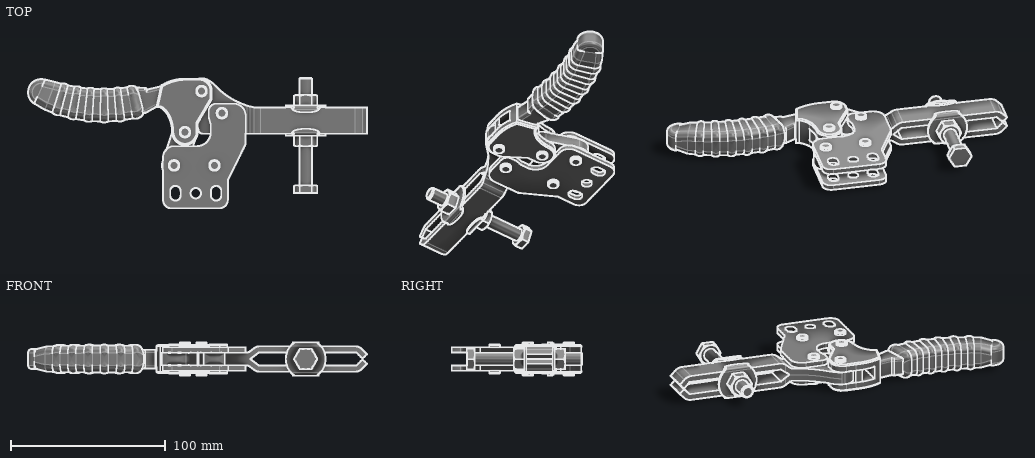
import cadquery as cq
import math


overall_thickness = 21.7
sheet = 4.2
base_outer = 7.7
lever_outer = 9.2
base_head_top = 9.6
lever_head_top = overall_thickness / 2
rivet_radius = 2.6
head_radius = 3.5
head_chamfer = 0.7

link_base_pin = (7.2, 27.8)
spacer_pin = (33.3, 27.8)
arm_base_pin = (38.1, 61.5)
link_lever_pin = (14.3, 49.3)
arm_lever_pin = (25.0, 75.9)

base_height = 67.7
foot_width = 42.0
foot_side_height = 18.5
shoulder_corner = 7.5
base_right = 53.5
slope_top = 41.5
shoulder_height = 40.3
post_left = 29.5
foot_corner = 5.7
post_corner = 7.7
post_left_corner = 4.8
throat_radius = 9.0
post_step_from = 59.0
post_step_to = 54.5
throat_side = 31.0
spacer_radius = 6.8
hole_row = 9.9
hole_radius = 3.3
hole_middle = 21.3
slot_pitch = 13.2
slot_length = 9.5

link_radius = 8.0
link_half_thickness = 4.0

lever_edge_chamfer = 0.9
lever_top = 84.0
lever_toe_radius = 8.3
lever_nose_radius = 7.7
lever_right = 31.5
lever_crown_length = 6.5
lever_cheek_bottom = (lever_right, 70.5)
lever_toe_top = 55.2
lever_belly_start = (3.5, 59.6)
lever_belly_end = (-1.8, 65.3)
lever_heel_bottom = (-4.2, 65.3)
lever_heel_top = (-1.0, 79.5)
lever_back_middle = (6.5, 82.9)
lever_slot_left = 3.7
neck_upper_edge = [(-17.5, 78.3), (-11.2, 78.0), (-10.0, 77.0), (0, 79.4)]
neck_lower_edge = [(0, 65.8), (-4.8, 65.3), (-11.5, 61.5), (-17.5, 61.5)]
neck_half_thickness = 6.1
neck_edge_round = 1.8

grip_arc_radius = 97.8
grip_arc_center = (-38.8, 164.5)
first_rib_angle = -17.7
band_angle = 2.8
rib_count = 5
rib_rise = 0.7
grip_corner = 4.8
cap_half_thickness = 6.5
cap_lead_angle = 7.0
cap_half_width = 8.5
cap_depth = 7.5
grip_half_width = 10.5
grip_half_thickness = 8.8
grip_width_taper = 0.002
grip_thickness_taper = 0.001
collar_angle = 4.2
collar_half_width = 8.1
collar_half_thickness = 6.4
cap_round = 2.6

bar_bottom = 48.2
bar_top = 65.3
arm_tip = 132.0
arm_lug_radius = 8.3
arm_back_start = (27.2, 84.0)
arm_back_points = [(37.0, 76.3), (47.1, 69.5), (59.2, bar_top)]
arm_back_slopes = [-0.35, -0.2]
arm_belly = (25.9, bar_bottom)
arm_belly_top = (23.2, 49.5)
fork_start = 56.5
fork_run = 5.5
tip_gap = 0.2
bend_round = 6.5
hollow_bend_round = 3.3

spindle_x = 92.3
spindle_top = 84.6
spindle_bottom = 9.9
bolt_radius = 4.2
bolt_chamfer = 0.9
hex_flats = 13.2
bolt_head_height = 5.3
nut_height = 6.8
hex_chamfer_height = 0.7
washer_thickness = 1.3
washer_radius = 13.0
tab_top = overall_thickness / 2
tab_bend_radius = 2.5
tab_length = 3.3
tab_half_width = 8.3


def disc(center, radius, z_from, z_to):
    """Cylinder along Z."""
    return cq.Workplane("XY", origin=(*center, z_from)).circle(radius).extrude(z_to - z_from)


def rivet(center, head_base, head_top):
    """Rivet shank through the part with a chamfered head on both outer faces."""
    shank = disc(center, rivet_radius, -head_base, head_base)
    head = disc(center, head_radius, head_base, head_top).faces(">Z").chamfer(head_chamfer)
    return shank.union(head).union(head.mirror("XY"))


def pin_hole(center):
    return disc(center, rivet_radius, -lever_outer, lever_outer)


def make_base():
    throat_center = (throat_side - throat_radius, shoulder_height + throat_radius)
    diagonal = throat_radius * math.sqrt(0.5)
    outline = (
        cq.Workplane("XY")
        .moveTo(0, 0)
        .lineTo(foot_width, 0)
        .lineTo(foot_width, foot_side_height)
        .lineTo(base_right, slope_top)
        .lineTo(base_right, base_height)
        .lineTo(post_left, base_height)
        .lineTo(post_left, post_step_from)
        .lineTo(throat_side, post_step_to)
        .lineTo(throat_side, throat_center[1])
        .threePointArc(
            (throat_center[0] + diagonal, throat_center[1] - diagonal),
            (throat_center[0], shoulder_height),
        )
        .lineTo(0, shoulder_height)
        .close()
    )
    plate = outline.extrude(base_outer - sheet).translate((0, 0, sheet))
    for corner, radius in (
        ((0, 0), foot_corner),
        ((foot_width, 0), foot_corner),
        ((0, shoulder_height), shoulder_corner),
        ((base_right, base_height), post_corner),
        ((post_left, base_height), post_left_corner),
    ):
        corner_edge = cq.selectors.NearestToPointSelector((*corner, (sheet + base_outer) / 2))
        plate = plate.edges(corner_edge).fillet(radius)

    holes = (
        cq.Workplane("XY")
        .pushPoints([(hole_middle - slot_pitch, hole_row), (hole_middle + slot_pitch, hole_row)])
        .slot2D(slot_length, 2 * hole_radius, 90)
        .extrude(base_outer)
        .union(disc((hole_middle, hole_row), hole_radius, 0, base_outer))
    )
    plate = plate.cut(holes)
    base = plate.union(plate.mirror("XY")).union(disc(spacer_pin, spacer_radius, -sheet, sheet))
    for pin in (link_base_pin, spacer_pin, arm_base_pin):
        base = base.union(rivet(pin, base_outer, base_head_top))
    return base


def make_link():
    dx = link_lever_pin[0] - link_base_pin[0]
    dy = link_lever_pin[1] - link_base_pin[1]
    middle = (link_base_pin[0] + dx / 2, link_base_pin[1] + dy / 2)
    link = (
        cq.Workplane("XY")
        .center(*middle)
        .slot2D(math.hypot(dx, dy) + 2 * link_radius, 2 * link_radius, math.degrees(math.atan2(dy, dx)))
        .extrude(link_half_thickness, both=True)
    )
    return link.cut(pin_hole(link_base_pin)).cut(pin_hole(link_lever_pin))


def make_lever_head():
    """Thick head of the lever, slotted for the link and the clamp arm."""
    nose = (lever_right - lever_nose_radius, lever_top - lever_nose_radius)
    toe_x, toe_y = link_lever_pin
    head = (
        cq.Workplane("XY")
        .moveTo(nose[0] - lever_crown_length, lever_top)
        .lineTo(nose[0], lever_top)
        .tangentArcPoint((lever_right, nose[1]), relative=False)
        .lineTo(*lever_cheek_bottom)
        .lineTo(toe_x + lever_toe_radius, lever_toe_top)
        .lineTo(toe_x + lever_toe_radius, toe_y)
        .threePointArc((toe_x, toe_y - lever_toe_radius), (toe_x - lever_toe_radius, toe_y))
        .tangentArcPoint(lever_belly_start, relative=False)
        .tangentArcPoint(lever_belly_end, relative=False)
        .lineTo(*lever_heel_bottom)
        .lineTo(*lever_heel_top)
        .threePointArc(lever_back_middle, (nose[0] - lever_crown_length, lever_top))
        .close()
        .extrude(lever_outer, both=True)
        .faces("<Z or >Z")
        .edges()
        .chamfer(lever_edge_chamfer)
    )
    slot = cq.Workplane("XY").box(lever_right, 2 * lever_top, 2 * sheet, centered=(False, True, True))
    return head.cut(slot.translate((lever_slot_left, 0, 0)))


def make_neck():
    """Bar between the lever head and the grip."""
    return (
        cq.Workplane("XY")
        .polyline(neck_upper_edge + neck_lower_edge)
        .close()
        .extrude(neck_half_thickness, both=True)
        .faces("<Z or >Z")
        .edges()
        .fillet(neck_edge_round)
    )


def grip_plane(angle):
    """Plane across the grip: local X points to the centre of curvature, local Y along Z."""
    a = math.radians(angle)
    origin = (
        grip_arc_center[0] + grip_arc_radius * math.sin(a),
        grip_arc_center[1] - grip_arc_radius * math.cos(a),
        0,
    )
    return cq.Plane(origin=origin, xDir=(-math.sin(a), math.cos(a), 0), normal=(math.cos(a), math.sin(a), 0))


def grip_section(angle, half_width, half_thickness):
    """Rounded rectangle across the grip."""
    wire = cq.Workplane(grip_plane(angle)).rect(2 * half_width, 2 * half_thickness).val()
    return wire.fillet2D(grip_corner, wire.Vertices())


def barrel_section(angle, rise=0.0):
    """Grip section at an angle: thickest in the middle and thinner towards both ends."""
    half_width = grip_half_width - grip_width_taper * angle**2
    half_thickness = grip_half_thickness - grip_thickness_taper * angle**2
    return grip_section(angle, half_width + rise, half_thickness + rise)


def valley_band(start, end):
    return cq.Workplane(cq.Solid.makeLoft([barrel_section(start), barrel_section(end)], True))


def rib_band(start, end):
    """Band that bulges out halfway along."""
    middle = (start + end) / 2
    sections = [barrel_section(start), barrel_section(middle, rib_rise), barrel_section(end)]
    return cq.Workplane(cq.Solid.makeLoft(sections, False))


def along_section(angle, across, ahead):
    """XY point at a distance across the grip and ahead of it, measured from its centre line."""
    point = grip_plane(angle).toWorldCoords((across, 0, ahead))
    return (point.x, point.y)


def make_grip_cap(angle):
    """Rounded outer end of the grip, beyond the section at the given angle."""
    cap = (
        cq.Workplane("XY")
        .moveTo(*along_section(angle, -cap_half_width, 0))
        .threePointArc(along_section(angle, 0, -cap_depth), along_section(angle, cap_half_width, 0))
        .close()
        .extrude(cap_half_thickness, both=True)
    )
    return cap.edges("(<Z or >Z) and %CIRCLE").fillet(cap_round)


def make_grip():
    cap_angle = first_rib_angle - cap_lead_angle
    outer_angle = first_rib_angle - band_angle
    cap_section = grip_section(cap_angle, cap_half_width, cap_half_thickness)
    grip = cq.Workplane(cq.Solid.makeLoft([cap_section, barrel_section(outer_angle)], True))
    grip = grip.union(valley_band(outer_angle, first_rib_angle))
    for rib in range(rib_count):
        start = first_rib_angle + 2 * rib * band_angle
        grip = grip.union(rib_band(start, start + band_angle))
        grip = grip.union(valley_band(start + band_angle, start + 2 * band_angle))
    collar_start = first_rib_angle + 2 * rib_count * band_angle
    collar_end = collar_start + collar_angle
    collar_sections = [
        barrel_section(collar_start),
        barrel_section(collar_start + band_angle / 2, rib_rise),
        grip_section(collar_end, collar_half_width, collar_half_thickness),
    ]
    collar = cq.Solid.makeLoft(collar_sections, False)
    return grip.union(cq.Workplane(collar)).union(make_grip_cap(cap_angle))


def make_lever():
    lever = make_lever_head().union(make_neck()).union(make_grip())
    for pin in (link_lever_pin, arm_lever_pin):
        lever = lever.union(rivet(pin, lever_outer, lever_head_top))
    return lever


def make_arm():
    """Two leaves side by side at the pivots, spread apart into a fork along the bar."""
    lug_x, lug_y = arm_lever_pin
    fork_outer = 2 * sheet
    side_plate = (
        cq.Workplane("XY")
        .moveTo(lug_x - arm_lug_radius, lug_y)
        .threePointArc(
            (lug_x - arm_lug_radius * math.sqrt(0.5), lug_y + arm_lug_radius * math.sqrt(0.5)),
            (lug_x, lug_y + arm_lug_radius),
        )
        .lineTo(*arm_back_start)
        .spline(arm_back_points, tangents=[(1, slope) for slope in arm_back_slopes], includeCurrent=True)
        .lineTo(arm_tip, bar_top)
        .lineTo(arm_tip, bar_bottom)
        .lineTo(*arm_belly)
        .tangentArcPoint(arm_belly_top, relative=False)
        .close()
        .extrude(fork_outer, both=True)
    )
    arm = side_plate.intersect(make_leaf_pair())
    return arm.cut(pin_hole(arm_lever_pin)).cut(pin_hole(arm_base_pin))


def make_leaf_pair():
    """Bent leaf profile and its mirror image, carried across the whole height of the arm."""
    miter = sheet * math.tan(math.atan2(sheet, fork_run) / 2)
    tip_miter = sheet * math.tan(math.radians(45) / 2)
    tip_shift = sheet * math.sqrt(0.5)
    inner_tip_bend = arm_tip - tip_shift - (sheet - tip_gap)
    inner_fork_bend = fork_start + fork_run
    leaf = (
        cq.Workplane("XZ")
        .polyline(
            [
                (0, 0),
                (fork_start, 0),
                (inner_fork_bend, sheet),
                (inner_tip_bend, sheet),
                (arm_tip - tip_shift, tip_gap),
                (arm_tip, tip_gap + tip_shift),
                (inner_tip_bend + tip_miter, 2 * sheet),
                (inner_fork_bend - miter, 2 * sheet),
                (fork_start - miter, sheet),
                (0, sheet),
            ]
        )
        .close()
        .extrude(-2 * lever_top)
    )
    for bend_x, bend_z, radius in (
        (inner_tip_bend + tip_miter, 2 * sheet, bend_round),
        (inner_fork_bend - miter, 2 * sheet, bend_round),
        (fork_start - miter, sheet, hollow_bend_round),
    ):
        bend = cq.selectors.NearestToPointSelector((bend_x, lever_top, bend_z))
        leaf = leaf.edges(bend).fillet(radius)
    return leaf.union(leaf.mirror("XY"))


def rod(y_from, y_to):
    """Cylinder along Y on the spindle axis."""
    return cq.Workplane("XZ", origin=(spindle_x, y_from, 0)).circle(bolt_radius).extrude(y_from - y_to)


def hexagon(y_from, y_to, chamfered_end):
    """Hexagon with corners along X, its corners bevelled at the end named by the selector."""
    corner_diameter = hex_flats / math.cos(math.radians(30))
    height = y_to - y_from
    plane = cq.Workplane("XZ", origin=(spindle_x, y_from, 0))
    blank = plane.polygon(6, corner_diameter).extrude(-height)
    bevel = plane.circle(corner_diameter / 2).extrude(-height)
    bevel = bevel.faces(chamfered_end).chamfer(hex_chamfer_height, (corner_diameter - hex_flats) / 2)
    return blank.intersect(bevel)


def make_spindle():
    """Hexagon bolt with the two nuts that clamp it to the arm."""
    upper_seat = bar_top + washer_thickness
    lower_seat = bar_bottom - washer_thickness
    shank = rod(spindle_bottom, spindle_top).faces(">Y").chamfer(bolt_chamfer)
    head = hexagon(spindle_bottom, spindle_bottom + bolt_head_height, ">Y")
    lower_nut = hexagon(lower_seat - nut_height, lower_seat, "<Y")
    upper_nut = hexagon(upper_seat, upper_seat + nut_height, ">Y")
    return shank.union(head).union(lower_nut).union(upper_nut)


def make_upper_washer():
    """Round washer whose two tabs bend down over the outer faces of the bar."""
    outer_y = bar_top + washer_thickness
    strip = (
        cq.Workplane("XY")
        .box(2 * washer_radius, washer_thickness + tab_length, 2 * tab_top)
        .translate((spindle_x, outer_y - (washer_thickness + tab_length) / 2, 0))
        .edges("|X and >Y")
        .fillet(tab_bend_radius)
    )
    inside_z = tab_top - washer_thickness
    hollow = (
        cq.Workplane("XY")
        .box(2 * washer_radius, 2 * tab_length, 2 * inside_z)
        .translate((spindle_x, bar_top - tab_length, 0))
        .edges("|X and >Y")
        .fillet(tab_bend_radius - washer_thickness)
    )
    plate = (
        cq.Workplane("XZ", origin=(spindle_x, bar_top - tab_length, 0))
        .circle(washer_radius)
        .extrude(-tab_length - washer_thickness)
    )
    ear = (
        cq.Workplane("XY")
        .center(spindle_x, outer_y - tab_bend_radius)
        .ellipse(tab_half_width, tab_length + washer_thickness - tab_bend_radius)
        .extrude(tab_top, both=True)
    )
    plate_zone = (
        cq.Workplane("XY")
        .box(2 * washer_radius, 2 * tab_bend_radius, 2 * tab_top)
        .translate((spindle_x, outer_y, 0))
    )
    rim = plate_zone.intersect(plate).union(ear)
    washer = strip.cut(hollow).intersect(rim)
    return washer.cut(rod(bar_bottom, spindle_top))


def make_washers():
    upper = make_upper_washer()
    lower = upper.mirror("XZ", (0, (bar_bottom + bar_top) / 2, 0))
    return [upper, lower]


base = make_base()
link = make_link()
lever = make_lever()
clamp_arm = make_arm()
spindle = make_spindle()
washers = make_washers()

result = cq.Compound.makeCompound(
    [
        base.val(),
        link.val(),
        lever.val(),
        clamp_arm.val(),
        spindle.val(),
        *[washer.val() for washer in washers],
    ]
)